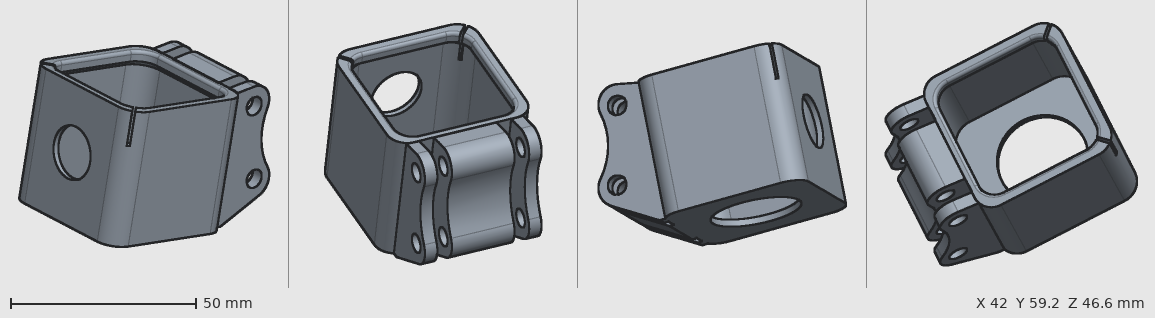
import cadquery as cq
import math

tilt = 11.3
cup_width = 42.0
cup_depth = 41.2
cup_height = 39.0
front_corner_radius = 6.0
back_corner_radius = 5.45
cavity_corner_radius = 6.6
side_wall = 1.8
floor_thickness = 2.0
cavity_side = cup_width - 2 * side_wall
cavity_middle = side_wall + cavity_side / 2

lip_overhang = 1.4
lip_rounding = 1.0
lip_straight_depth = 3.0
lip_depth = lip_straight_depth + lip_overhang

front_hole_diameter = 15.0
front_hole_height = 20.25
floor_hole_diameter = 25.0
floor_hole_y = 20.6
slit_width = 0.8
slit_depth = 10.0

lug_outer_half_width = 17.5
lug_thickness = 3.75
centre_lug_width = 18.8
lobe_radius = 5.4
lobe_y = 59.2 - lobe_radius
upper_lobe_z = 24.7
lower_lobe_z = 1.7
waist_y = 56.4
pin_diameter = 5.3
pin_spacing = 21.95
pin_middle_z = (upper_lobe_z + lower_lobe_z) / 2
lug_foot = 1.3
lug_embed = 0.7


def tilt_back(shape):
    return shape.rotate((0, 0, 0), (1, 0, 0), -tilt)


def tilted_point(depth, height):
    """World (Y, Z) of a point given in the untilted cup."""
    angle = math.radians(tilt)
    return (
        depth * math.cos(angle) + height * math.sin(angle),
        height * math.cos(angle) - depth * math.sin(angle),
    )


def rounded_block(width, depth, height, radius, middle_y, bottom_z):
    block = cq.Workplane("XY").box(width, depth, height, centered=(True, True, False))
    return block.edges("|Z").fillet(radius).translate((0, middle_y, bottom_z))


def make_cavity():
    lip_bottom = cup_height - lip_depth
    chamber = rounded_block(
        cavity_side, cavity_side, cup_height - lip_straight_depth - floor_thickness,
        cavity_corner_radius, cavity_middle, floor_thickness,
    ).faces(">Z").chamfer(lip_overhang)
    mouth_side = cavity_side - 2 * lip_overhang
    mouth = rounded_block(
        mouth_side, mouth_side, cup_height - lip_bottom,
        cavity_corner_radius - lip_overhang, cavity_middle, lip_bottom,
    )
    return chamber.union(mouth)


def make_slit(side):
    """Vertical slit through one front corner, at 45 degrees to the walls."""
    length = 2 * front_corner_radius
    slit = cq.Workplane("XY").box(length, slit_width, slit_depth, centered=(False, True, False))
    slit = slit.rotate((0, 0, 0), (0, 0, 1), -90 + side * 45)
    arc_centre_x = side * (cup_width / 2 - front_corner_radius)
    return slit.translate((arc_centre_x, front_corner_radius, cup_height - slit_depth))


def make_cup():
    cup = cq.Workplane("XY").box(cup_width, cup_depth, cup_height, centered=(True, False, False))
    cup = cup.edges("|Z and <Y").fillet(front_corner_radius)
    cup = cup.edges("|Z and >Y").fillet(back_corner_radius)
    cup = cup.cut(make_cavity())
    mouth_rim = cup.faces(">Z").val().innerWires()[0]
    cup = cup.newObject(mouth_rim.Edges()).fillet(lip_rounding)
    front_hole = cq.Solid.makeCylinder(
        front_hole_diameter / 2, cavity_middle, cq.Vector(0, 0, front_hole_height), cq.Vector(0, 1, 0)
    )
    floor_hole = cq.Solid.makeCylinder(
        floor_hole_diameter / 2, cup_height / 2, cq.Vector(0, floor_hole_y, 0)
    )
    cup = cup.cut(front_hole).cut(floor_hole)
    for side in (-1, 1):
        cup = cup.cut(make_slit(side))
    return tilt_back(cup)


def lobe_point(lobe_z, angle):
    return (lobe_y + lobe_radius * math.cos(angle), lobe_z + lobe_radius * math.sin(angle))


def make_lug(x_start, width):
    half_gap = (upper_lobe_z - lower_lobe_z) / 2
    inset = waist_y - lobe_y
    waist_radius = (half_gap**2 + inset**2 - lobe_radius**2) / (2 * (lobe_radius - inset))
    waist_angle = math.asin(half_gap / (waist_radius + lobe_radius))

    foot = tilted_point(cup_depth + lug_foot, 0)
    foot_y = foot[0] - lobe_y
    foot_z = foot[1] - lower_lobe_z
    tangent_angle = math.atan2(foot_z, foot_y) + math.acos(lobe_radius / math.hypot(foot_y, foot_z))

    top_z = upper_lobe_z + lobe_radius
    root_depth = cup_depth - lug_embed
    root_bottom = tilted_point(root_depth, 0)
    root_top_y = root_bottom[0] + (top_z - root_bottom[1]) * math.tan(math.radians(tilt))
    profile = (
        cq.Workplane("YZ", origin=(x_start, 0, 0))
        .moveTo(*root_bottom)
        .lineTo(*foot)
        .lineTo(*lobe_point(lower_lobe_z, tangent_angle))
        .threePointArc(
            lobe_point(lower_lobe_z, (tangent_angle + waist_angle) / 2),
            lobe_point(lower_lobe_z, waist_angle),
        )
        .threePointArc((waist_y, pin_middle_z), lobe_point(upper_lobe_z, -waist_angle))
        .threePointArc(lobe_point(upper_lobe_z, math.pi / 4), lobe_point(upper_lobe_z, math.pi / 2))
        .lineTo(root_top_y, top_z)
        .close()
    )
    lug = profile.extrude(width)
    for pin_z in (pin_middle_z - pin_spacing / 2, pin_middle_z + pin_spacing / 2):
        pin_hole = cq.Solid.makeCylinder(
            pin_diameter / 2, width, cq.Vector(x_start, lobe_y, pin_z), cq.Vector(1, 0, 0)
        )
        lug = lug.cut(pin_hole)
    return lug


result = make_cup()
for lug_start, lug_width in (
    (-lug_outer_half_width, lug_thickness),
    (-centre_lug_width / 2, centre_lug_width),
    (lug_outer_half_width - lug_thickness, lug_thickness),
):
    result = result.union(make_lug(lug_start, lug_width))